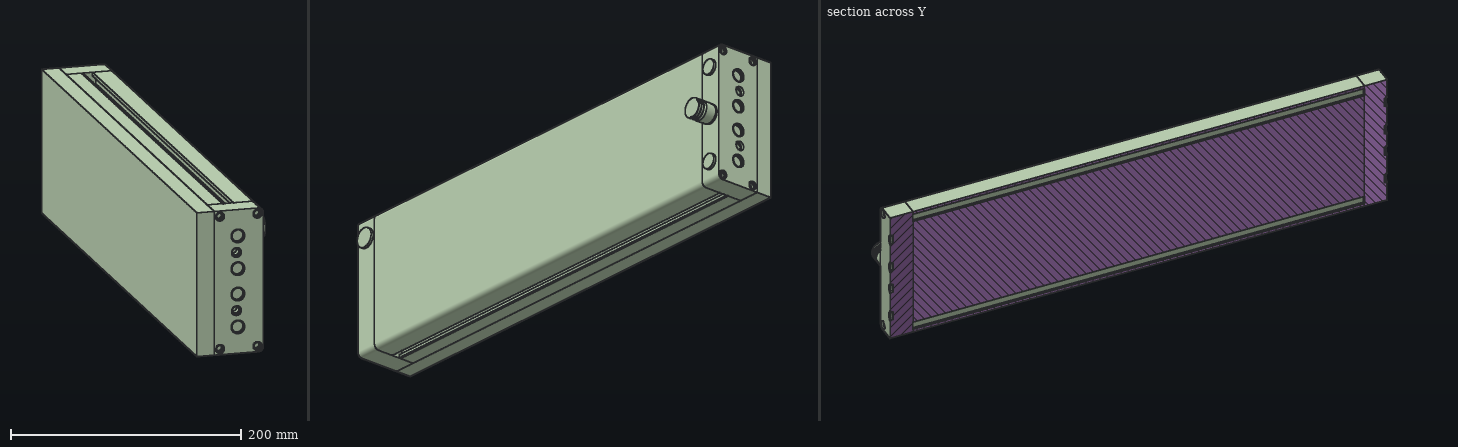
import cadquery as cq

length = 478.0
depth = 81.3
height = 130.0

panel_thickness = 16.0
housing_back = 60.0
housing_depth = housing_back - panel_thickness
cap_length = 22.0
profile_length = length - 2 * cap_length
back_edge_radius = 5.0

slot_front = 31.5
slot_back = 39.5
slot_lip = 3.5
slot_depth = 10.5
slot_undercut = 3.0
ledge_width = 1.5
ledge_depth = 0.5

corner_mouth_diameter = 7.5
corner_mouth_depth = 2.0
corner_bore_diameter = 5.3
corner_bore_depth = 5.0
corner_inset = 5.3
corner_y_positions = (panel_thickness + corner_inset, housing_back - corner_inset)
corner_z = height / 2 - corner_inset

large_mouth_diameter = 12.0
large_mouth_depth = 1.0
large_bore_diameter = 10.5
large_bore_depth = 3.0
large_hole_y = 37.5
large_hole_heights = (11.5, 41.0)
small_mouth_diameter = 8.5
small_mouth_depth = 3.0
small_bore_diameter = 5.5
small_bore_depth = 9.5
small_hole_y = 36.0
small_hole_height = 26.5

button_projection = 2.5
button_height = 45.5
small_button_diameter = 14.5
large_button_diameter = 18.5

connector_diameter = 18.5
connector_neck_diameter = 17.5
connector_neck_length = 1.5
thread_length = 8.5
thread_turns = 3
thread_pitch = thread_length / thread_turns
thread_root_diameter = 16.0

cap_center_x = length / 2 - cap_length / 2


def housing_block(x_start, block_length):
    """A stretch of the housing section with rounded back edges."""
    return (
        cq.Workplane("XY")
        .box(block_length, housing_depth, height, centered=(False, False, True))
        .edges("|X and >Y")
        .fillet(back_edge_radius)
        .translate((x_start, panel_thickness, 0))
    )


def make_panel():
    return cq.Workplane("XY").box(length, panel_thickness, height, centered=(True, False, True))


def slot_cutter():
    """Section of the top T-slot, swept along the profile."""
    top = height / 2
    floor = top - slot_depth
    return (
        cq.Workplane("YZ", origin=(-profile_length / 2, 0, 0))
        .moveTo(slot_front - ledge_width, top)
        .lineTo(slot_front - ledge_width, top - ledge_depth)
        .lineTo(slot_front, top - ledge_depth)
        .lineTo(slot_front, top - slot_lip)
        .lineTo(slot_front - slot_undercut, top - slot_lip)
        .lineTo(slot_front - slot_undercut, floor)
        .lineTo(slot_back + slot_undercut, floor)
        .lineTo(slot_back + slot_undercut, top - slot_lip)
        .lineTo(slot_back, top - slot_lip)
        .lineTo(slot_back, top)
        .close()
        .extrude(profile_length)
    )


def make_profile():
    top_slot = slot_cutter()
    bottom_slot = top_slot.mirror("XY")
    return housing_block(-profile_length / 2, profile_length).cut(top_slot).cut(bottom_slot)


def drill_from_left(cap, places, diameter, hole_depth):
    """Blind round holes drilled in +X from the left end face."""
    holes = (
        cq.Workplane("YZ", origin=(-length / 2, 0, 0))
        .pushPoints(places)
        .circle(diameter / 2)
        .extrude(hole_depth)
    )
    return cap.cut(holes)


def make_blank_cap():
    """Left end cap with the stepped holes of its end face."""
    corner_places = [(y, side * corner_z) for y in corner_y_positions for side in (-1, 1)]
    large_places = [(large_hole_y, side * z) for z in large_hole_heights for side in (-1, 1)]
    small_places = [(small_hole_y, side * small_hole_height) for side in (-1, 1)]

    cap = housing_block(-length / 2, cap_length)
    cap = drill_from_left(cap, corner_places, corner_mouth_diameter, corner_mouth_depth)
    cap = drill_from_left(cap, corner_places, corner_bore_diameter, corner_bore_depth)
    cap = drill_from_left(cap, large_places, large_mouth_diameter, large_mouth_depth)
    cap = drill_from_left(cap, large_places, large_bore_diameter, large_bore_depth)
    cap = drill_from_left(cap, small_places, small_mouth_diameter, small_mouth_depth)
    return drill_from_left(cap, small_places, small_bore_diameter, small_bore_depth)


def add_button(cap, x, z, diameter):
    button = (
        cq.Workplane("XZ", origin=(x, housing_back, z))
        .circle(diameter / 2)
        .extrude(-button_projection)
    )
    return cap.union(button)


def make_connector():
    """Turned connector: neck, plain barrel and round-grooved thread, along +Y."""
    radius = connector_diameter / 2
    thread_start = depth - thread_length
    outline = (
        cq.Workplane("XY")
        .moveTo(0, housing_back)
        .lineTo(connector_neck_diameter / 2, housing_back)
        .lineTo(connector_neck_diameter / 2, housing_back + connector_neck_length)
        .lineTo(radius, housing_back + connector_neck_length)
        .lineTo(radius, thread_start)
    )
    for turn in range(thread_turns):
        crest = thread_start + turn * thread_pitch
        groove_bottom = (thread_root_diameter / 2, crest + thread_pitch / 2)
        outline = outline.threePointArc(groove_bottom, (radius, crest + thread_pitch))
    return (
        outline.lineTo(0, depth)
        .close()
        .revolve(360, (0, 0, 0), (0, 1, 0))
        .translate((-cap_center_x, 0, 0))
    )


def make_left_cap():
    cap = make_blank_cap().union(make_connector())
    for side in (-1, 1):
        cap = add_button(cap, -cap_center_x, side * button_height, small_button_diameter)
    return cap


def make_right_cap():
    cap = make_blank_cap().mirror("YZ")
    return add_button(cap, cap_center_x, button_height, large_button_diameter)


panel = make_panel()
profile = make_profile()
left_cap = make_left_cap()
right_cap = make_right_cap()

result = cq.Compound.makeCompound([panel.val(), profile.val(), left_cap.val(), right_cap.val()])